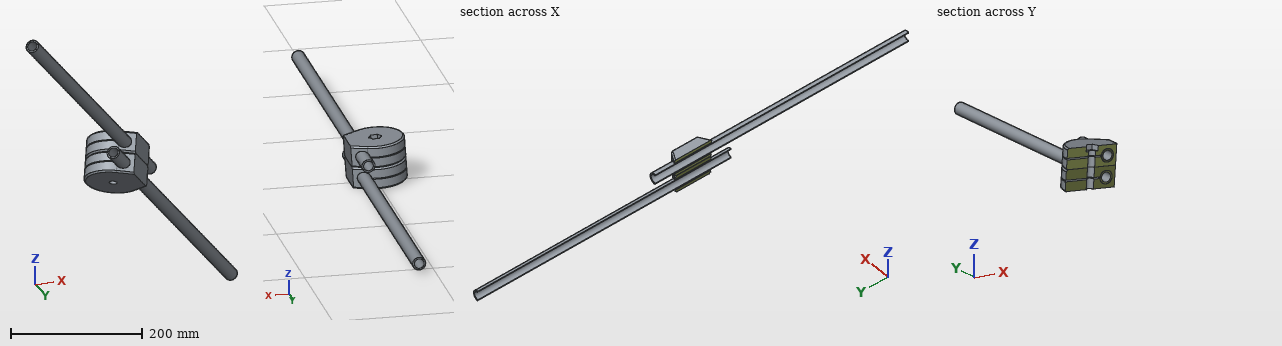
import cadquery as cq
import math

tube_diameter = 20.0
tube_bore = 15.0
tube_length = 500.0
overall_length = 850.0

clamp_diameter = 89.0
clamp_radius = clamp_diameter / 2
nose_reach = 44.0
nose_width = 54.0
stack_height = 69.0
clamp_height = stack_height / 2
edge_chamfer = 2.5
tube_offset = 28.0
slit_width = 2.0
bolt_hole_diameter = 12.0
socket_across_corners = 20.0
socket_depth = 8.5
tilt_angle = 4.0

nose_half_width = nose_width / 2
corner_distance = math.hypot(nose_reach, nose_half_width)
tangent_angle = math.atan2(nose_half_width, nose_reach) + math.acos(clamp_radius / corner_distance)
tangent_x = clamp_radius * math.cos(tangent_angle)
tangent_y = clamp_radius * math.sin(tangent_angle)


def make_clamp(center_z):
    """One clamp, split from its round side to the tube bore and joined at the nose."""
    clamp = (
        cq.Workplane("XY")
        .moveTo(nose_reach, -nose_half_width)
        .lineTo(nose_reach, nose_half_width)
        .lineTo(tangent_x, tangent_y)
        .threePointArc((-clamp_radius, 0), (tangent_x, -tangent_y))
        .close()
        .extrude(clamp_height / 2, both=True)
        .faces("|Z")
        .edges("not(|Y)")
        .chamfer(edge_chamfer)
    )
    bolt_hole = cq.Workplane("XY").circle(bolt_hole_diameter / 2).extrude(clamp_height, both=True)
    tube_hole = (
        cq.Workplane("XZ")
        .center(tube_offset, 0)
        .circle(tube_diameter / 2)
        .extrude(2 * clamp_radius, both=True)
    )
    slit_length = 2 * clamp_radius + tube_offset
    slit = cq.Workplane("XY").box(slit_length, 4 * clamp_radius, slit_width)
    slit = slit.translate((tube_offset - slit_length / 2, 0, 0))
    return clamp.cut(bolt_hole).cut(tube_hole).cut(slit).translate((0, 0, center_z))


def make_tube(center_z, side):
    """One tube along Y, with its far end on the given side (+1 or -1)."""
    center_y = side * (overall_length - tube_length) / 2
    return (
        cq.Workplane("XZ")
        .circle(tube_diameter / 2)
        .circle(tube_bore / 2)
        .extrude(tube_length)
        .translate((tube_offset, center_y + tube_length / 2, center_z))
    )


def tilt(body):
    """Lean the upright stack about the Y axis."""
    return body.rotate((0, 0, 0), (0, 1, 0), tilt_angle)


def cut_bolt_socket(clamp, top_z):
    """Sink the hexagonal bolt-head recess, corners along X, into the top of a clamp."""
    socket = (
        cq.Workplane("XY", origin=(0, 0, top_z))
        .polygon(6, socket_across_corners)
        .extrude(-socket_depth)
    )
    return clamp.cut(socket)


level_z = clamp_height / 2
upper_clamp = cut_bolt_socket(make_clamp(level_z), level_z + clamp_height / 2)
lower_clamp = make_clamp(-level_z)

tubes = [make_tube(level * level_z, -level) for level in (1, -1)]

bodies = [upper_clamp, lower_clamp, *tubes]
result = cq.Compound.makeCompound([tilt(body).val() for body in bodies])